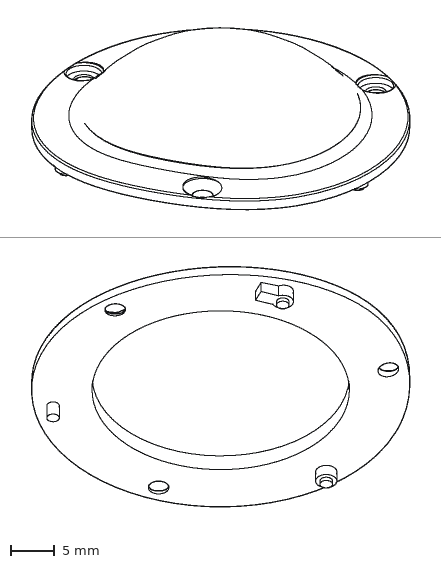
import cadquery as cq
import math

rim_radius = 21.5
total_height = 11.83

flange_level = 1.75
rim_thickness = 1.35
rim_chamfer = 0.2
root_radius = 17.2
root_height = 1.5
dome_edge_radius = 15.9
dome_edge_height = 2.45
flange_inner_radius = 14.62

bump_height = 1.2
bump_angle = 315
dip_depth = 0.4
dip_angle = 225
wave_sharpness = 4.5
dome_edge_warp_share = 0.65
dome_edge_shrink_share = 0.4
wave_samples = 24

dome_wall = 1.3
dome_base = 3.0
dome_rise = total_height - flange_level - dome_edge_height
dome_radius = (dome_edge_radius**2 + dome_rise**2) / (2 * dome_rise)
dome_center = total_height - dome_radius

bolt_circle_radius = 19.25
counterbore_angles = (90, 210)
countersink_angle = 330
hole_diameter = 2.32
seat_diameter = 4.05
seat_depth = 0.95
countersink_floor_diameter = 2.4
seat_edge_diameter = 4.5
seat_edge_chamfer = 0.2

peg_angles = (30, 270)
pin_angle = 150
peg_diameter = 2.4
peg_bottom = 0.47
tip_diameter = 1.4
block_length = 2.35
block_width = 1.7
block_center_x = -1.8


def warp(angle):
    """Height offset of the flange at an angle in degrees."""
    def swell(center):
        return math.exp(wave_sharpness * (math.cos(math.radians(angle - center)) - 1))

    return bump_height * swell(bump_angle) - dip_depth * swell(dip_angle)


def at_angle(radius, angle, z):
    theta = math.radians(angle)
    return cq.Vector(radius * math.cos(theta), radius * math.sin(theta), z)


def warped_ring_edge(radius, height, warp_share, shrink_share):
    """Closed ring following a share of the warp, drawn inward where the warp rises."""
    angles = [360 * i / wave_samples for i in range(wave_samples)]
    points = [
        at_angle(radius - shrink_share * warp(a), a, flange_level + height + warp_share * warp(a))
        for a in angles
    ]
    return cq.Edge.makeSpline(points, periodic=True)


def make_flange():
    section = [
        (flange_inner_radius, 0, 0, 0),
        (rim_radius, 0, 1, 0),
        (rim_radius, rim_thickness - rim_chamfer, 1, 0),
        (rim_radius - rim_chamfer, rim_thickness, 1, 0),
        (root_radius, root_height, 1, dome_edge_shrink_share),
        (dome_edge_radius, dome_edge_height, dome_edge_warp_share, dome_edge_shrink_share),
        (flange_inner_radius, dome_edge_height, dome_edge_warp_share, 0),
    ]
    edges = [warped_ring_edge(*corner) for corner in section]
    next_edges = edges[1:] + edges[:1]
    faces = [cq.Face.makeRuledSurface(a, b) for a, b in zip(edges, next_edges)]
    return cq.Workplane(obj=cq.Solid.makeSolid(cq.Shell.makeShell(faces)))


def make_dome():
    center = (0, 0, dome_center)
    outer = cq.Workplane().sphere(dome_radius).translate(center)
    inner = cq.Workplane().sphere(dome_radius - dome_wall).translate(center)
    above_base = (
        cq.Workplane()
        .workplane(offset=dome_base)
        .circle(rim_radius)
        .extrude(total_height)
    )
    return outer.cut(inner).intersect(above_base)


def make_screw_cutter(angle, seat_floor_diameter):
    """Through hole, screw-head seat and chamfered mouth, revolved about Z."""
    top = flange_level + rim_thickness + warp(angle)
    mouth = top - seat_edge_chamfer
    hole_radius = hole_diameter / 2
    profile = (
        cq.Workplane("XZ")
        .moveTo(0, 0)
        .lineTo(hole_radius, 0)
        .lineTo(hole_radius, top - seat_depth)
        .lineTo(seat_floor_diameter / 2, top - seat_depth)
        .lineTo(seat_diameter / 2, mouth)
        .lineTo(seat_edge_diameter / 2, top)
        .lineTo(seat_edge_diameter / 2, total_height / 2)
        .lineTo(0, total_height / 2)
        .close()
    )
    cutter = profile.revolve(360, (0, 0, 0), (0, 1, 0))
    return cutter.translate(at_angle(bolt_circle_radius, angle, 0))


def make_post(angle, diameter, bottom):
    """Round post reaching up to the middle of the flange."""
    top = flange_level + warp(angle) + rim_thickness / 2
    post = cq.Workplane().circle(diameter / 2).extrude(top - bottom)
    return post.translate(at_angle(bolt_circle_radius, angle, bottom))


def make_block():
    height = flange_level + rim_thickness / 2 - peg_bottom
    block = cq.Workplane().box(block_length, block_width, height, centered=(True, True, False))
    return block.translate((block_center_x, -bolt_circle_radius, peg_bottom))


result = make_flange().union(make_dome())
for hole_angle in counterbore_angles:
    result = result.cut(make_screw_cutter(hole_angle, seat_diameter))
result = result.cut(make_screw_cutter(countersink_angle, countersink_floor_diameter))
for peg_angle in peg_angles:
    result = result.union(make_post(peg_angle, peg_diameter, peg_bottom))
for tip_angle in (*peg_angles, pin_angle):
    result = result.union(make_post(tip_angle, tip_diameter, 0))
result = result.union(make_block())